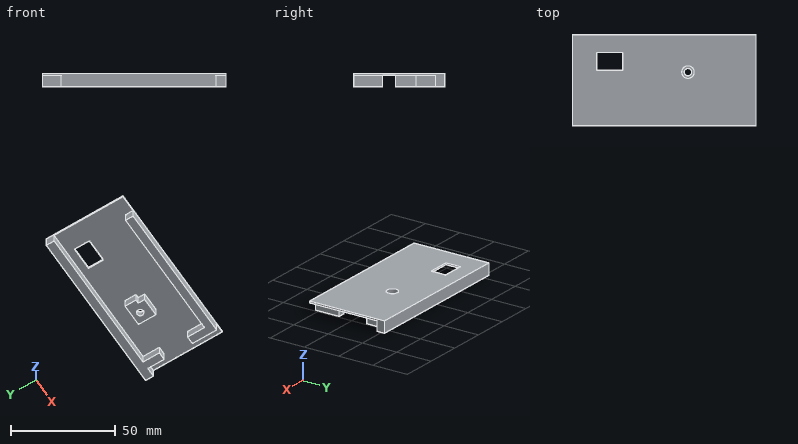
import cadquery as cq

LENGTH = 88.25
WIDTH = 43.75
HEIGHT = 6.5
PLATE_THICKNESS = 1.0
RIB_HEIGHT = HEIGHT - PLATE_THICKNESS

REAR_RIB_THICKNESS = 4.5
REAR_RIB_Y = WIDTH - REAR_RIB_THICKNESS
FRONT_RIB_THICKNESS = 4.25
FRONT_RIB_START = 9.0
FRONT_RIB_END_INSET = 5.0
FRONT_RIB_END = LENGTH - FRONT_RIB_END_INSET

END_WALL_THICKNESS = FRONT_RIB_THICKNESS
END_WALL_X = FRONT_RIB_END - END_WALL_THICKNESS
FRONT_WALL_LENGTH = 9.6
REAR_WALL_LENGTH = 9.3

WINDOW_LENGTH = 12.4
WINDOW_WIDTH = 8.4
WINDOW_X = 11.75
WINDOW_REAR_MARGIN = 8.6
WINDOW_Y = WIDTH - WINDOW_REAR_MARGIN - WINDOW_WIDTH

SCREW_X = 55.5
SCREW_REAR_MARGIN = 18.0
SCREW_Y = WIDTH - SCREW_REAR_MARGIN
SCREW_DIAMETER = 3.4
HEAD_DIAMETER = 6.0
HEAD_DEPTH = 2.8

BOSS_SIZE = 9.9
BOSS_X = SCREW_X - BOSS_SIZE / 2
BOSS_BACK_Y = REAR_RIB_Y - REAR_WALL_LENGTH
BOSS_Y = BOSS_BACK_Y - BOSS_SIZE
PAD_WIDTH = 6.2
PAD_LENGTH = 2.0


def block(x, y, z, length, width, height):
    """Box with its lowest corner at (x, y, z)."""
    return cq.Workplane("XY").box(length, width, height, centered=False).translate((x, y, z))


def underside_block(x, y, length, width):
    """Block that hangs from the plate down to the bottom of the part."""
    return block(x, y, 0, length, width, RIB_HEIGHT)


def cover_plate():
    plate = block(0, 0, RIB_HEIGHT, LENGTH, WIDTH, PLATE_THICKNESS)
    window = block(WINDOW_X, WINDOW_Y, RIB_HEIGHT, WINDOW_LENGTH, WINDOW_WIDTH, PLATE_THICKNESS)
    return plate.cut(window)


def long_ribs():
    rear = underside_block(0, REAR_RIB_Y, LENGTH, REAR_RIB_THICKNESS)
    front_length = FRONT_RIB_END - FRONT_RIB_START
    front = underside_block(FRONT_RIB_START, 0, front_length, FRONT_RIB_THICKNESS)
    return rear.union(front)


def end_walls():
    front = underside_block(END_WALL_X, FRONT_RIB_THICKNESS, END_WALL_THICKNESS, FRONT_WALL_LENGTH)
    rear = underside_block(END_WALL_X, BOSS_BACK_Y, END_WALL_THICKNESS, REAR_WALL_LENGTH)
    return front.union(rear)


def screw_boss():
    boss = underside_block(BOSS_X, BOSS_Y, BOSS_SIZE, BOSS_SIZE)
    pad = underside_block(BOSS_X - PAD_LENGTH, BOSS_BACK_Y - PAD_WIDTH, PAD_LENGTH, PAD_WIDTH)
    return boss.union(pad)


def screw_hole():
    shank = cq.Workplane("XY").circle(SCREW_DIAMETER / 2).extrude(HEIGHT)
    head = cq.Workplane("XY").workplane(offset=HEIGHT - HEAD_DEPTH)
    head = head.circle(HEAD_DIAMETER / 2).extrude(HEAD_DEPTH)
    return shank.union(head).translate((SCREW_X, SCREW_Y, 0))


body = cover_plate().union(long_ribs()).union(end_walls()).union(screw_boss())
result = body.cut(screw_hole())